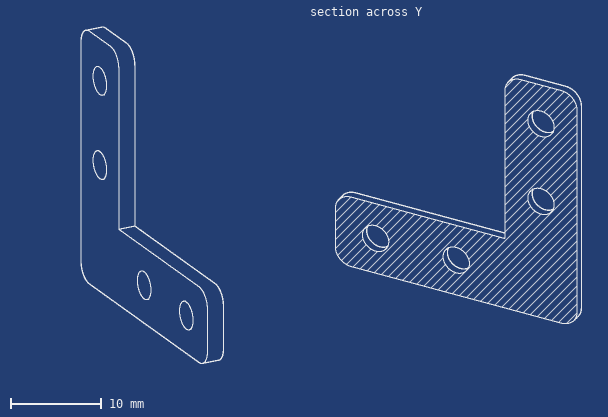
import cadquery as cq

side = 30.0
arm_width = 9.0
thickness = 2.0
corner_radius = 2.0
hole_diameter = 3.2
end_to_first_hole = 5.0
hole_pitch = 10.0

half = side / 2
arm_centre = -half + arm_width / 2


def make_arm(length_x, length_z):
    """Round-cornered bar with its outer corner at -X, -Z."""
    return (
        cq.Workplane("XZ")
        .center(-half + length_x / 2, -half + length_z / 2)
        .rect(length_x, length_z)
        .extrude(thickness / 2, both=True)
        .edges("|Y")
        .fillet(corner_radius)
    )


def make_plate():
    """Two overlapping arms, which leave the inner corner of the L sharp."""
    upright_arm = make_arm(arm_width, side)
    level_arm = make_arm(side, arm_width)
    return upright_arm.union(level_arm).clean()


def make_hole_cutters():
    """Two through holes along the middle of each arm."""
    first = half - end_to_first_hole
    centres = []
    for along in (first, first - hole_pitch):
        centres.append((along, arm_centre))
        centres.append((arm_centre, along))
    return (
        cq.Workplane("XZ", origin=(0, thickness / 2, 0))
        .pushPoints(centres)
        .circle(hole_diameter / 2)
        .extrude(thickness)
    )


result = make_plate().cut(make_hole_cutters())